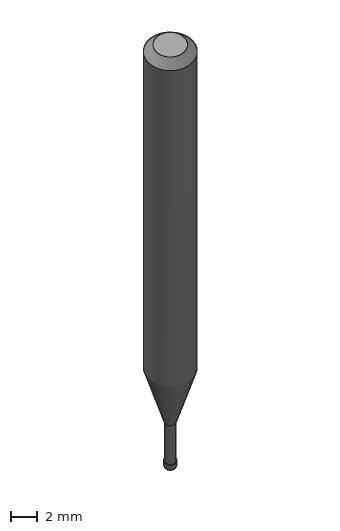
import cadquery as cq
import math

total_length = 45.0
shank_radius = 18 / 9
chamfer_size = 0.7
taper_start = 10.75

ball_radius = shank_radius / 4
tip_height = 0.8
neck_radius = 0.42
neck_top = 4.95
taper_end = 5.2
flare_width = 0.1
taper_end_radius = neck_radius + flare_width


def make_tip():
    """Ball nose with a short cylinder above it, ending in a flat joint face."""
    arc_offset = ball_radius * math.sin(math.radians(45))
    return (
        cq.Workplane("XZ")
        .moveTo(0, 0)
        .threePointArc((arc_offset, ball_radius - arc_offset), (ball_radius, ball_radius))
        .lineTo(ball_radius, tip_height)
        .lineTo(0, tip_height)
        .close()
        .revolve(360, (0, 0, 0), (0, 1, 0))
    )


def make_shank():
    """Neck with a flared top, conical taper and chamfered shank."""
    return (
        cq.Workplane("XZ")
        .moveTo(0, tip_height)
        .lineTo(neck_radius, tip_height)
        .lineTo(neck_radius, neck_top)
        .lineTo(taper_end_radius, taper_end)
        .lineTo(shank_radius, taper_start)
        .lineTo(shank_radius, total_length - chamfer_size)
        .lineTo(shank_radius - chamfer_size, total_length)
        .lineTo(0, total_length)
        .close()
        .revolve(360, (0, 0, 0), (0, 1, 0))
    )


tip = make_tip()
shank = make_shank()

result = cq.Compound.makeCompound([tip.val(), shank.val()])